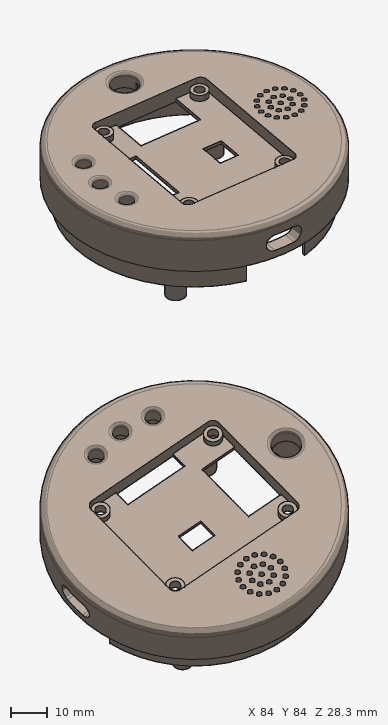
import cadquery as cq
import math

body_diameter = 84.0
cavity_diameter = 76.0
lip_diameter = 78.0
body_height = 12.5
lip_height = 7.65
pin_drop = 8.15
top_z = body_height + lip_height + pin_drop
lip_top_z = top_z - body_height
lip_bottom_z = lip_top_z - lip_height
rim_fillet = 1.9

pocket_depth = 3.95
floor_thickness = 1.1
plate_thickness = pocket_depth + floor_thickness
plate_bottom_z = top_z - plate_thickness
pocket_floor_z = top_z - pocket_depth
pocket_length = 44.85
pocket_width = 37.8
pocket_corner_radius = 2.0

standoff_diameter = 5.3
standoff_hole_diameter = 3.0
standoff_height = 2.0
standoff_spacing_x = pocket_length - standoff_diameter
standoff_spacing_y = 32.1

side_opening_length = 11.5
side_opening_width = 20.0
front_opening_length = 20.0
front_opening_width = 5.1
front_opening_x = 2.0
window_length = 7.9
window_width = 6.05
window_x = 4.0
window_y = 6.0

knob_hole_diameter = 8.2
knob_hole_x = -32.3
button_hole_diameter = 4.3
button_spacing = 10.0
outer_button_y = -29.9
middle_button_y = -31.6
hole_fillet = 1.0

key_hole_diameter = 1.85
key_hole_y = 4.95
key_hole_depth = 2.5

grille_y = 29.0
grille_hole_diameter = 1.5
grille_rings = [(3.3, 8), (6.55, 16)]

pin_diameter = 6.0
pin_spacing = 45.1

cable_slot_length = 11.8
cable_slot_height = 5.3
cable_slot_depth_below_top = 7.4
lip_gap_width = 19.5
wall_cut_start_x = 29.4


def cylinder(diameter, bottom_z, height, points=((0, 0),)):
    """Upright cylinders standing on bottom_z at the given XY points."""
    plane = cq.Workplane("XY", origin=(0, 0, bottom_z))
    return plane.pushPoints(list(points)).circle(diameter / 2).extrude(height)


def upright_box(length, width, height, center_x, center_y, bottom_z):
    box = cq.Workplane("XY").box(length, width, height, centered=(True, True, False))
    return box.translate((center_x, center_y, bottom_z))


def rectangle_corners(spacing_x, spacing_y):
    return [(sx * spacing_x / 2, sy * spacing_y / 2) for sx in (-1, 1) for sy in (-1, 1)]


def housing():
    body = cylinder(body_diameter, lip_top_z, body_height).faces(">Z").edges().fillet(rim_fillet)
    lip = cylinder(lip_diameter, lip_bottom_z, lip_height)
    cavity = cylinder(cavity_diameter, lip_bottom_z, plate_bottom_z - lip_bottom_z)
    return body.union(lip).cut(cavity)


def display_pocket():
    pocket = upright_box(pocket_length, pocket_width, pocket_depth, 0, 0, pocket_floor_z)
    return pocket.edges("|Z").fillet(pocket_corner_radius)


def floor_openings():
    side_x = (side_opening_length - pocket_length) / 2
    front_y = (front_opening_width - pocket_width) / 2
    openings = [
        (side_opening_length, side_opening_width, side_x, 0),
        (front_opening_length, front_opening_width, front_opening_x, front_y),
        (window_length, window_width, window_x, window_y),
    ]
    cutter = cq.Workplane("XY")
    for length, width, x, y in openings:
        cutter = cutter.add(upright_box(length, width, floor_thickness, x, y, plate_bottom_z))
    return cutter.combine()


def rounded_hole(diameter, x, y):
    """Revolved cutter for a plate hole whose upper edge is rounded outward."""
    radius = diameter / 2
    arc_center_r = radius + hole_fillet
    arc_center_z = top_z - hole_fillet
    arc_offset = hole_fillet * math.sqrt(0.5)
    profile = (
        cq.Workplane("XZ")
        .moveTo(0, plate_bottom_z)
        .lineTo(radius, plate_bottom_z)
        .lineTo(radius, arc_center_z)
        .threePointArc((arc_center_r - arc_offset, arc_center_z + arc_offset), (arc_center_r, top_z))
        .lineTo(0, top_z)
        .close()
    )
    return profile.revolve(360, (0, 0, 0), (0, 1, 0)).translate((x, y, 0))


def grille_points():
    points = [(0, grille_y)]
    for radius, count in grille_rings:
        for i in range(count):
            angle = 2 * math.pi * i / count
            points.append((radius * math.cos(angle), grille_y + radius * math.sin(angle)))
    return points


def cable_slot():
    """Horizontal round-ended cutter that only reaches through the +X wall."""
    plane = cq.Workplane("YZ", origin=(wall_cut_start_x, 0, top_z - cable_slot_depth_below_top))
    return plane.slot2D(cable_slot_length, cable_slot_height).extrude(body_diameter / 2 - wall_cut_start_x)


def lip_gap():
    length = body_diameter / 2 - wall_cut_start_x
    return upright_box(length, lip_gap_width, lip_height, wall_cut_start_x + length / 2, 0, lip_bottom_z)


standoff_points = rectangle_corners(standoff_spacing_x, standoff_spacing_y)
pin_points = rectangle_corners(pin_spacing, pin_spacing)

result = housing().cut(display_pocket())
result = result.union(cylinder(standoff_diameter, pocket_floor_z, standoff_height, standoff_points))
result = result.union(cylinder(pin_diameter, 0, plate_bottom_z, pin_points))
result = result.cut(cylinder(standoff_hole_diameter, plate_bottom_z, plate_thickness, standoff_points))
result = result.cut(floor_openings())

result = result.cut(rounded_hole(knob_hole_diameter, knob_hole_x, 0))
key_hole = cylinder(key_hole_diameter, plate_bottom_z, key_hole_depth, [(knob_hole_x, key_hole_y)])
result = result.cut(key_hole)
result = result.cut(rounded_hole(button_hole_diameter, 0, middle_button_y))
for side in (-1, 1):
    result = result.cut(rounded_hole(button_hole_diameter, side * button_spacing, outer_button_y))

result = result.cut(cylinder(grille_hole_diameter, plate_bottom_z, plate_thickness, grille_points()))
result = result.cut(cable_slot())
result = result.cut(lip_gap())